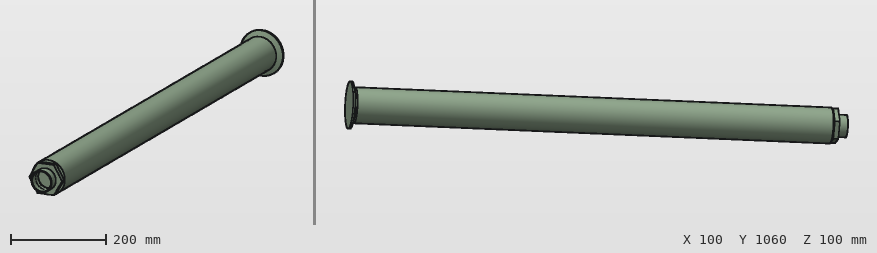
import cadquery as cq

total_length = 1060.0
sleeve_diameter = 76.0
flare_diameter = 100.0
flare_length = 12.0
rim_thickness = 4.0
hex_across_corners = sleeve_diameter
hex_length = 11.0
gap_length = 3.0
core_diameter = 48.0
spigot_length = 20.0
bore_diameter = 43.0
bore_depth = 30.0

spigot_tip = -total_length / 2
hex_front = spigot_tip + spigot_length
hex_back = hex_front + hex_length
sleeve_front = hex_back + gap_length
flare_end = total_length / 2
flare_start = flare_end - flare_length
rim_start = flare_end - rim_thickness


def plane_at(y):
    """Plane square to the axis whose normal points along +Y."""
    return cq.Workplane(cq.Plane(origin=(0, y, 0), xDir=(1, 0, 0), normal=(0, 1, 0)))


def cylinder(diameter, y_start, y_end):
    return plane_at(y_start).circle(diameter / 2).extrude(y_end - y_start)


def hex_nut():
    """Hexagon with corners on +X and -X, so two of its flats face +Z and -Z."""
    return plane_at(hex_front).polygon(6, hex_across_corners).extrude(hex_length)


def flare():
    """Shallow cone that widens from the core diameter to a thin cylindrical rim."""
    core_radius = core_diameter / 2
    flare_radius = flare_diameter / 2
    return (
        cq.Workplane("XY")
        .moveTo(0, flare_start)
        .lineTo(core_radius, flare_start)
        .lineTo(flare_radius, rim_start)
        .lineTo(flare_radius, flare_end)
        .lineTo(0, flare_end)
        .close()
        .revolve(360, (0, 0, 0), (0, 1, 0))
    )


core = cylinder(core_diameter, spigot_tip, flare_end)
sleeve = cylinder(sleeve_diameter, sleeve_front, flare_start)
bore = cylinder(bore_diameter, spigot_tip, spigot_tip + bore_depth)

result = core.union(sleeve).union(flare()).union(hex_nut()).cut(bore)